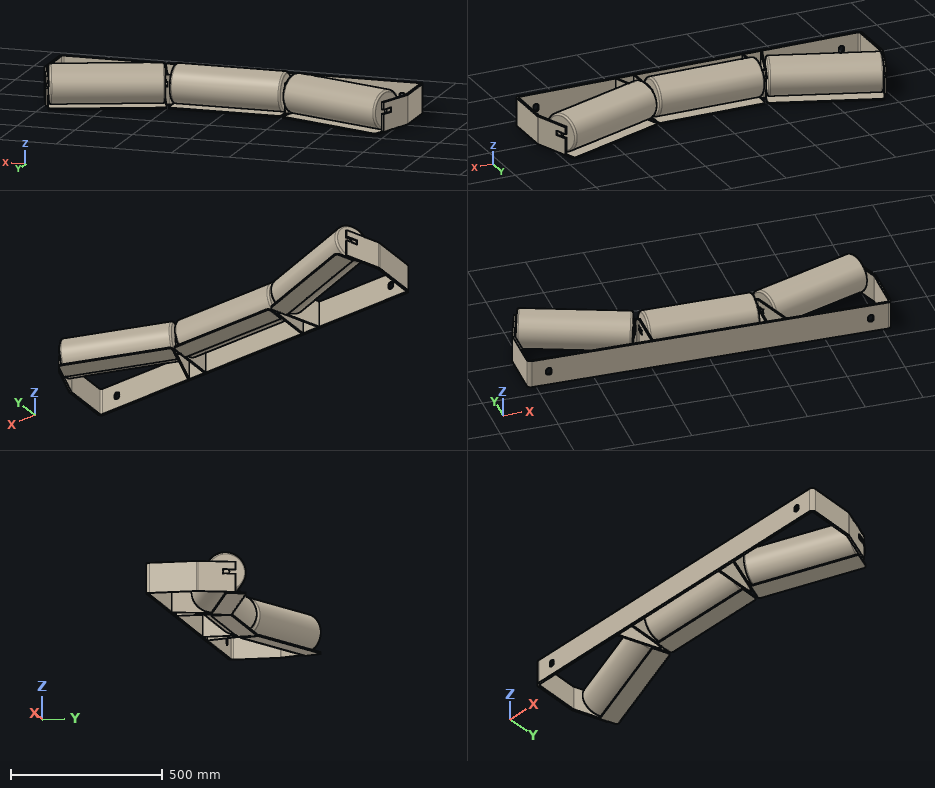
import cadquery as cq
import math

frame_length = 1260.0
frame_height = 101.0
frame_thickness = 8.0
frame_bend_radius = 6.0
arm_tip_y = 296.0

mount_spacing = 1114.0
mount_width = 19.0
mount_height = 26.0

tilt = 20.0
roller_diameter = 135.0
roller_length = 383.0
roller_rounding = 6.0
roller_axis_z = 68.0
center_roller_y = 125.0
side_roller_x = 406.0
side_roller_y = 198.0

seat_distance = 195.0
shaft_diameter = 21.0
shaft_flat_height = 14.0
shaft_slot_height = 15.0

plate_thickness = 5.0
plate_corner_radius = 11.0

bracket_thickness = 5.0
bracket_bend_radius = 4.0
bracket_top_y = 152.0

sin_tilt = math.sin(math.radians(tilt))
cos_tilt = math.cos(math.radians(tilt))
roller_radius = roller_diameter / 2

left_station = (-side_roller_x, side_roller_y, -tilt)
center_station = (0, center_roller_y, 0)
right_station = (side_roller_x, side_roller_y, tilt)
stations = [left_station, center_station, right_station]


def place(body, station):
    """Moves a body built along X about the origin to a roller station."""
    x, y, turn = station
    return body.rotate((0, 0, 0), (0, 0, 1), turn).translate((x, y, roller_axis_z))


def side_support_x(y, distance):
    """X at the given Y on the plane across the right roller's axis, at a signed distance from its middle."""
    return side_roller_x + (distance - (y - side_roller_y) * sin_tilt) / cos_tilt


def side_support_y(x, distance):
    """Y at the given X on the same plane."""
    return side_roller_y + (distance - (x - side_roller_x) * cos_tilt) / sin_tilt


def left_normal(start, end):
    """Unit vector pointing left of the direction from start to end."""
    length = math.dist(start, end)
    return (start[1] - end[1]) / length, (end[0] - start[0]) / length


def bent_strip(path, thickness, inner_radius):
    """Upright strip whose outer face follows a path of left turns, with rounded bends."""
    normals = [left_normal(start, end) for start, end in zip(path, path[1:])]
    inner_path = []
    for point, before, after in zip(path, normals[:1] + normals, normals + normals[-1:]):
        miter = thickness / (1 + before[0] * after[0] + before[1] * after[1])
        inner_x = point[0] + miter * (before[0] + after[0])
        inner_y = point[1] + miter * (before[1] + after[1])
        inner_path.append((inner_x, inner_y))
    strip = cq.Workplane("XY").polyline(path + inner_path[::-1]).close().extrude(frame_height)
    for bends, radius in ((path[1:-1], inner_radius + thickness), (inner_path[1:-1], inner_radius)):
        for x, y in bends:
            bend_edge = cq.selectors.NearestToPointSelector((x, y, frame_height / 2))
            strip = strip.edges("|Z").edges(bend_edge).fillet(radius)
    return strip


def shaft_slot(station, side, support_thickness):
    """Cutter for the slot, open to +Y, in the support at one end (side -1 or 1) of a roller."""
    slot = cq.Workplane("XY").box(
        support_thickness, frame_length, shaft_slot_height, centered=(True, False, True)
    )
    slot = slot.translate((side * (seat_distance + support_thickness / 2), -shaft_diameter / 2, 0))
    return place(slot, station)


def make_frame():
    half_length = frame_length / 2
    arm_distance = seat_distance + frame_thickness
    bend_y = side_support_y(half_length, arm_distance)
    tip_x = side_support_x(arm_tip_y, arm_distance)
    right_half = [(half_length, 0), (half_length, bend_y), (tip_x, arm_tip_y)]
    left_half = [(-x, y) for x, y in reversed(right_half)]
    frame = bent_strip(left_half + right_half, frame_thickness, frame_bend_radius)
    mount_slots = (
        cq.Workplane("XZ")
        .center(0, frame_height / 2)
        .rarray(mount_spacing, 13, 2, 1)
        .slot2D(mount_height, mount_width, 90)
        .extrude(-frame_thickness)
    )
    frame = frame.cut(mount_slots)
    frame = frame.cut(shaft_slot(left_station, -1, frame_thickness))
    return frame.cut(shaft_slot(right_station, 1, frame_thickness))


def make_right_bracket():
    path = [
        (side_support_x(0, -seat_distance), 0),
        (side_support_x(bracket_top_y, -seat_distance), bracket_top_y),
        (seat_distance, bracket_top_y),
        (seat_distance, 0),
    ]
    bracket = bent_strip(path, bracket_thickness, bracket_bend_radius)
    foot_trim = cq.Workplane("XY").box(frame_length, 2 * frame_thickness, 2 * frame_height)
    bracket = bracket.cut(foot_trim)
    bracket = bracket.cut(shaft_slot(center_station, 1, bracket_thickness))
    return bracket.cut(shaft_slot(right_station, -1, bracket_thickness))


def rod(diameter, length):
    """Plain cylinder along X, centred on the origin."""
    return cq.Workplane("YZ", origin=(-length / 2, 0, 0)).circle(diameter / 2).extrude(length)


def make_roller(station):
    """Rounded cylinder with a flatted shaft end on each side."""
    drum = rod(roller_diameter, roller_length)
    drum = drum.faces("<X or >X").edges().fillet(roller_rounding)
    shaft_length = 2 * (seat_distance + bracket_thickness)
    shaft = rod(shaft_diameter, shaft_length)
    flats = cq.Workplane("XY").box(shaft_length, shaft_diameter, shaft_flat_height)
    return place(drum.union(shaft.intersect(flats)), station)


def make_plate(station):
    """Flat plate touching the roller's lowest line and reaching back to its rear side."""
    plate = cq.Workplane("XY").box(
        2 * seat_distance, roller_radius, plate_thickness, centered=(True, False, False)
    )
    plate = plate.edges("|Z and >Y").fillet(plate_corner_radius)
    return place(plate.translate((0, 0, -roller_radius - plate_thickness)), station)


frame = make_frame()
right_bracket = make_right_bracket()
left_bracket = right_bracket.mirror("YZ")
rollers = [make_roller(station) for station in stations]
plates = [make_plate(station) for station in stations]

bodies = [frame, left_bracket, right_bracket, *rollers, *plates]
result = cq.Compound.makeCompound([body.solids().val() for body in bodies])